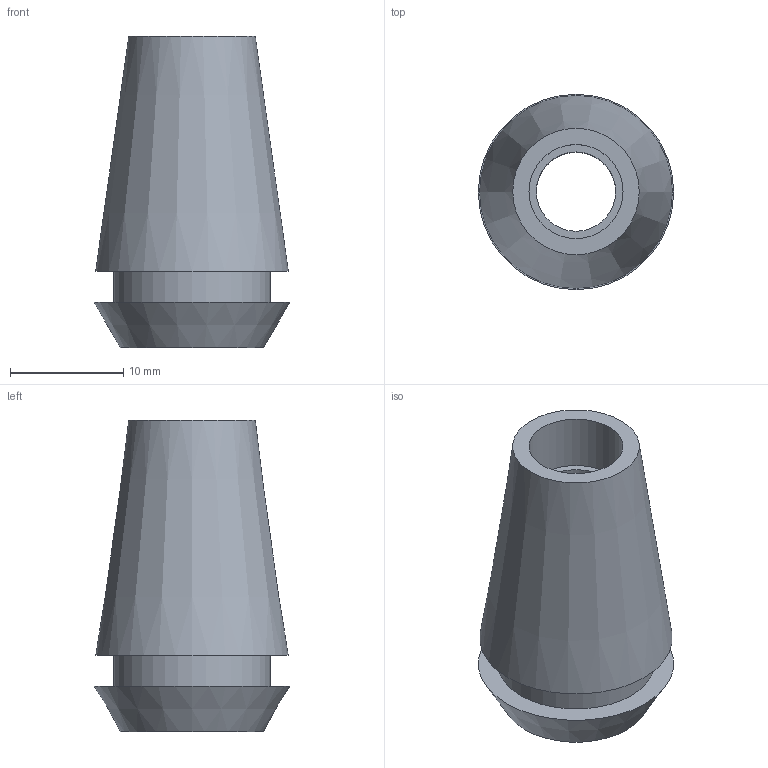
import cadquery as cq
import math

total_height = 27.5
collar_height = 4.0
groove_width = 2.75
taper_base_z = collar_height + groove_width
taper_length = total_height - taper_base_z

collar_diameter = 17.25
collar_half_angle = 30.0
groove_diameter = 13.8
taper_diameter = 17.0
taper_half_angle = 8.0

bore_diameter = 7.0
relief_diameter = 8.3
relief_depth = 5.0


def cone_end_radius(large_diameter, half_angle, length):
    """Radius at the small end of a cone."""
    return large_diameter / 2 - length * math.tan(math.radians(half_angle))


def make_body():
    """Revolve the collar, groove and long taper about the Z axis."""
    collar_bottom_radius = cone_end_radius(collar_diameter, collar_half_angle, collar_height)
    top_radius = cone_end_radius(taper_diameter, taper_half_angle, taper_length)
    profile = [
        (0, 0),
        (collar_bottom_radius, 0),
        (collar_diameter / 2, collar_height),
        (groove_diameter / 2, collar_height),
        (groove_diameter / 2, taper_base_z),
        (taper_diameter / 2, taper_base_z),
        (top_radius, total_height),
        (0, total_height),
    ]
    return cq.Workplane("XZ").polyline(profile).close().revolve(360, (0, 0), (0, 1))


def cut_bore(body):
    """Cut the through bore and its wider relief from the top face."""
    top_face = body.faces(">Z").workplane()
    return top_face.cboreHole(bore_diameter, relief_diameter, relief_depth)


result = cut_bore(make_body())